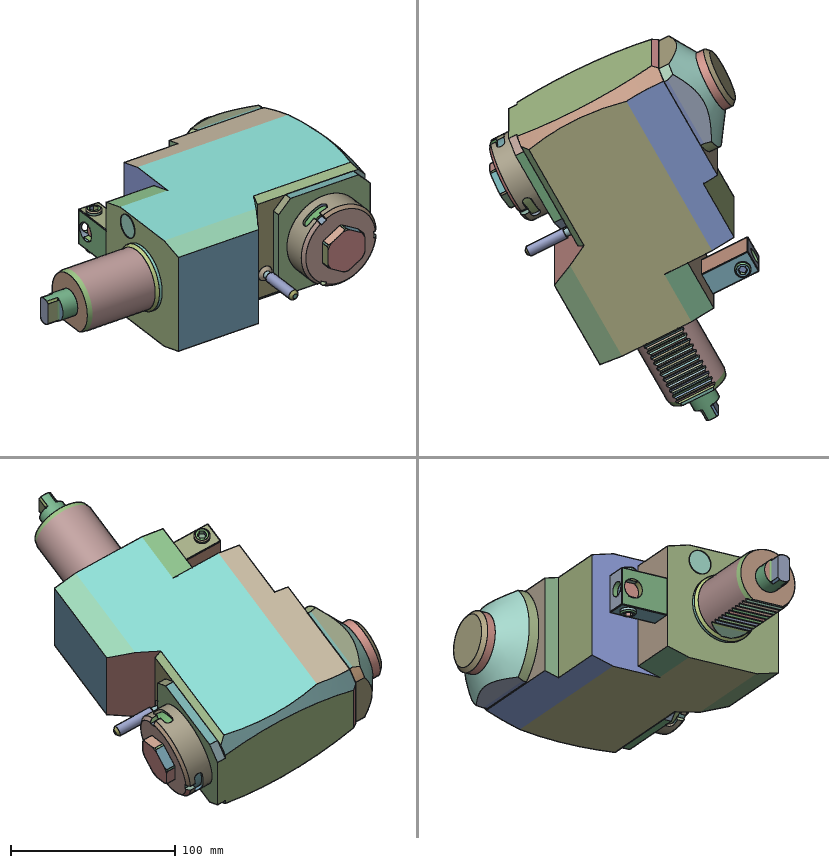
import cadquery as cq
import math


half_height = 37.5
head_back = 154.0
waist_front = 35.0
head_front = 74.8
foot_half_width = 39.3
foot_flat_half = 24.0
waist_left = -72.0
head_left = -81.8
left_flat_edge = -57.0
head_right = 14.5
head_right_flat_edge = 10.5
side_slope = math.tan(math.radians(15))
shoulder_y = 59.0
corner_chamfer_x = 3.5
corner_chamfer_y = 2.7
back_cone_radius = 140.1
back_cone_x = -23.3
back_edge_half_height = 33.5
plug_radius = 7.7
plug_x = -16.3
plug_z = 27.8
plug_depth = 0.5

spindle_y = 120.2
cap_rim_length = 2.5
cap_cone_start = -88.5
cap_radius = 38.2
collar_start = -101.5
collar_radius = 19.5
cap_end = -109.5
collar_chamfer = 2.7
cap_edge_half_height = 30.0
cap_back_offset = 30.3
flange_size = 67.3
flange_thickness = 5.6
flange_corner = 8.8
ring_radius = 27.5
ring_end = 37.7
ring_chamfer = 2.0
slot_x = 29.4
slot_angle = 40
slot_width = 5.6
slot_depth = 1.8
notch_width = 4.5
notch_depth = 3.2
pocket_angles = (0, 120, 240)
hex_flats = 27.0
hex_corner_radius = 15.1
hex_length = 6.3
hex_chamfer = 0.7

pin_y = 80.5
pin_z = -17.5
pin_radius = 3.5
pin_neck_radius = 2.5
pin_root_radius = 5.0
pin_root_length = 1.8
pin_neck_end = 20.3
pin_end = 47.2
pin_chamfer = 1.8

shank_radius = 20.1
shank_end = 53.3
shank_chamfer = 1.0
shank_chamfer_length = 3.5
seat_radius = 21.7
seat_length = 2.0
seat_taper_end = 4.0
rack_z = -16.0
rack_start = 7.7
tooth_pitch = 4.0
tooth_depth = 1.1
drive_radius = 8.8
drive_end = 64.2
tang_width = 8.4
tang_edge_chamfer = 1.8
tang_root_fillet = 1.0
tang_end = 72.0

nozzle_left = -71.2
nozzle_front = 1.0
nozzle_back = 15.8
nozzle_half_height = 12.5
nozzle_edge = 0.5
screw_x = -63.0
screw_y = 7.0
screw_radius = 5.0
screw_projection = 2.5
screw_chamfer = 1.0
socket_flats = 5.0
socket_depth = 3.5
ball_hole_radius = 6.3
ball_hole_depth = 4.5
ball_hole_flat = 5.5
side_hole_radius = 4.7
side_hole_depth = 3.5
side_drill_radius = 1.1
side_drill_depth = 5.6


def along_y(profile, start, end):
    """Extrude an X-Z outline from Y = start to Y = end."""
    plane = cq.Workplane("XZ", origin=(0, start, 0))
    return plane.polyline(profile).close().extrude(start - end)


def bevelled_block(left, left_flat, left_slope, right, right_flat, right_slope, start, end):
    """Housing block whose top and bottom fall away towards both sides."""
    left_z = half_height - (left_flat - left) * left_slope
    right_z = half_height - (right - right_flat) * right_slope
    upper = [(left, left_z), (left_flat, half_height), (right_flat, half_height), (right, right_z)]
    lower = [(x, -z) for x, z in reversed(upper)]
    return along_y(upper + lower, start, end)


def turned_about_x(points, y, z):
    """Revolve (X, radius) points about the line along X through (y, z)."""
    plane = cq.Workplane("XY", origin=(0, y, z))
    return plane.polyline(points).close().revolve(360, (0, 0, 0), (1, 0, 0))


def make_housing():
    foot = bevelled_block(
        -foot_half_width, -foot_flat_half, side_slope,
        foot_half_width, foot_flat_half, side_slope, 0, waist_front)
    waist = bevelled_block(
        waist_left, left_flat_edge, side_slope,
        foot_half_width, foot_flat_half, side_slope, waist_front, head_front)
    shoulder_cut = (
        cq.Workplane("XY")
        .polyline([(head_right_flat_edge, head_front), (foot_half_width, shoulder_y),
                   (foot_half_width, head_front)])
        .close()
        .extrude(half_height, both=True)
    )
    head = bevelled_block(
        head_left, left_flat_edge, side_slope,
        head_right, head_right_flat_edge, 1, head_front, head_back)
    corner_cut = (
        cq.Workplane("XY")
        .polyline([(head_left, head_back), (head_left + corner_chamfer_x, head_back),
                   (head_left, head_back - corner_chamfer_y)])
        .close()
        .extrude(half_height, both=True)
    )
    head = head.cut(corner_cut)
    head_length = head_back - head_front
    for side in (1, -1):
        cone_z = side * (back_edge_half_height - back_cone_radius)
        cone = cq.Solid.makeCone(
            back_cone_radius + head_length, back_cone_radius, head_length,
            cq.Vector(back_cone_x, head_front, cone_z), cq.Vector(0, 1, 0))
        head = head.intersect(cq.Workplane(cone))
    plug_recess = (
        cq.Workplane("XZ").center(plug_x, plug_z).circle(plug_radius).extrude(-plug_depth)
    )
    return foot.union(waist.cut(shoulder_cut)).union(head).cut(plug_recess)


def make_cap():
    cap = turned_about_x(
        [(head_left, 0), (head_left, cap_radius), (cap_cone_start, cap_radius),
         (collar_start, collar_radius), (cap_end + collar_chamfer, collar_radius),
         (cap_end, collar_radius - collar_chamfer), (cap_end, 0)], spindle_y, 0)
    rim_x = head_left - cap_rim_length
    end_z = cap_edge_half_height - (rim_x - cap_end) * side_slope
    upper = [(cap_end, end_z), (rim_x, cap_edge_half_height), (head_left, cap_edge_half_height)]
    lower = [(x, -z) for x, z in reversed(upper)]
    envelope = along_y(upper + lower, spindle_y - cap_radius, spindle_y + cap_back_offset)
    return cap.intersect(envelope)


def make_tool_end():
    plane = cq.Workplane("YZ", origin=(head_right, spindle_y, 0))
    flange = plane.rect(flange_size, flange_size).extrude(flange_thickness)
    flange = flange.edges("|X").chamfer(flange_corner)
    ring_start = head_right + flange_thickness
    ring = turned_about_x(
        [(ring_start, 0), (ring_start, ring_radius), (ring_end - ring_chamfer, ring_radius),
         (ring_end, ring_radius - ring_chamfer), (ring_end, 0)], spindle_y, 0)
    slot_floor = ring_radius - slot_depth
    slot_sweep = slot_angle - math.degrees(slot_width / ring_radius)
    slot = (
        cq.Workplane("XY", origin=(0, spindle_y, 0))
        .moveTo(slot_x, (slot_floor + ring_radius) / 2)
        .rect(slot_width, slot_depth)
        .revolve(slot_sweep, (0, 0, 0), (1, 0, 0))
        .rotate((0, spindle_y, 0), (1, spindle_y, 0), -slot_sweep / 2)
    )
    slot_core = cq.Workplane("YZ", origin=(0, spindle_y, 0)).circle(slot_floor).extrude(ring_end)
    slot_end = (
        cq.Workplane("XZ", origin=(slot_x, spindle_y, 0))
        .circle(slot_width / 2)
        .extrude(-ring_radius)
        .cut(slot_core)
    )
    for side in (1, -1):
        slot = slot.union(slot_end.rotate(
            (0, spindle_y, 0), (1, spindle_y, 0), side * slot_sweep / 2))
    notch_length = ring_end - slot_x - slot_width / 2
    notch = cq.Workplane("XY").box(
        notch_length, notch_depth, notch_width, centered=(False, False, True))
    pocket = slot.union(notch.translate(
        (ring_end - notch_length, spindle_y + ring_radius - notch_depth, 0)))
    for angle in pocket_angles:
        ring = ring.cut(pocket.rotate((0, spindle_y, 0), (1, spindle_y, 0), angle))
    hex_end = ring_end + hex_length
    hexagon = (
        cq.Workplane("YZ", origin=(ring_end, spindle_y, 0))
        .polygon(6, hex_flats, circumscribed=True)
        .extrude(hex_length)
    )
    hex_turning = turned_about_x(
        [(ring_end, 0), (ring_end, hex_corner_radius), (hex_end - hex_chamfer, hex_corner_radius),
         (hex_end, hex_corner_radius - hex_chamfer), (hex_end, 0)], spindle_y, 0)
    return flange.union(ring).union(hexagon.intersect(hex_turning))


def make_pin():
    return turned_about_x(
        [(head_right_flat_edge, 0), (head_right_flat_edge, pin_root_radius),
         (head_right, pin_root_radius), (head_right + pin_root_length, pin_neck_radius),
         (pin_neck_end, pin_neck_radius), (pin_neck_end, pin_radius),
         (pin_end - pin_chamfer, pin_radius), (pin_end, pin_radius - pin_chamfer),
         (pin_end, 0)], pin_y, pin_z)


def make_shank():
    shank = (
        cq.Workplane("XY")
        .polyline([(0, 0), (seat_radius, 0), (seat_radius, -seat_length),
                   (shank_radius, -seat_taper_end), (shank_radius, shank_chamfer_length - shank_end),
                   (shank_radius - shank_chamfer, -shank_end), (drive_radius, -shank_end),
                   (drive_radius, -drive_end), (0, -drive_end)])
        .close()
        .revolve(360, (0, 0, 0), (0, 1, 0))
    )
    ramp_start = rack_start - (shank_radius + rack_z)
    tooth_count = math.floor((shank_end - rack_start) / tooth_pitch)
    rack = [(-ramp_start, -shank_radius), (-rack_start, rack_z)]
    for i in range(tooth_count):
        tooth_y = -rack_start - i * tooth_pitch
        rack += [(tooth_y - tooth_pitch / 4, rack_z + tooth_depth),
                 (tooth_y - tooth_pitch / 2, rack_z + tooth_depth),
                 (tooth_y - tooth_pitch * 3 / 4, rack_z),
                 (tooth_y - tooth_pitch, rack_z)]
    rack += [(-shank_end, rack_z), (-shank_end, -shank_radius)]
    rack_cut = cq.Workplane("YZ").polyline(rack).close().extrude(shank_radius, both=True)
    drive_envelope = cq.Workplane("XZ").circle(drive_radius).extrude(tang_end)
    tang = (
        cq.Workplane("XZ", origin=(0, -shank_end, 0))
        .rect(tang_width, 2 * drive_radius)
        .extrude(tang_end - shank_end)
        .edges("|Y").chamfer(tang_edge_chamfer)
    )
    half_width = tang_width / 2
    for side in (1, -1):
        root = (
            cq.Workplane("XY")
            .moveTo(side * half_width, -drive_end)
            .lineTo(side * (half_width + tang_root_fillet), -drive_end)
            .radiusArc((side * half_width, -drive_end - tang_root_fillet), -side * tang_root_fillet)
            .close()
            .extrude(drive_radius, both=True)
        )
        tang = tang.union(root)
    return shank.cut(rack_cut).union(tang.intersect(drive_envelope))


def make_nozzle_block():
    block = (
        cq.Workplane("XY", origin=(nozzle_left, nozzle_front, 0))
        .box(-foot_half_width - nozzle_left, nozzle_back - nozzle_front, 2 * nozzle_half_height,
             centered=(False, False, True))
        .faces("<X").edges().chamfer(nozzle_edge)
        .edges("|X").chamfer(nozzle_edge)
    )
    screw_top = nozzle_half_height + screw_projection
    screw = (
        cq.Workplane("XY", origin=(screw_x, screw_y, -screw_top))
        .circle(screw_radius)
        .extrude(2 * screw_top)
        .faces("<Z or >Z").edges().chamfer(screw_chamfer)
    )
    block = block.union(screw)
    for side in (1, -1):
        socket = (
            cq.Workplane("XY", origin=(screw_x, screw_y, side * screw_top))
            .polygon(6, socket_flats, circumscribed=True)
            .extrude(-side * socket_depth)
        )
        block = block.cut(socket)
    ball_hole = (
        cq.Workplane("XZ", origin=(screw_x, nozzle_front, 0))
        .circle(ball_hole_radius)
        .extrude(-ball_hole_depth)
    )
    bevel = ball_hole_radius - ball_hole_flat
    bevelled_slab = (
        cq.Workplane("YZ", origin=(screw_x, nozzle_front, 0))
        .polyline([(0, -ball_hole_radius), (0, ball_hole_radius), (bevel, ball_hole_flat),
                   (ball_hole_depth, ball_hole_flat), (ball_hole_depth, -ball_hole_flat),
                   (bevel, -ball_hole_flat)])
        .close()
        .extrude(ball_hole_radius, both=True)
    )
    side_hole = (
        cq.Workplane("YZ", origin=(nozzle_left, screw_y, 0))
        .circle(side_hole_radius)
        .extrude(side_hole_depth)
    )
    side_drill = (
        cq.Workplane("YZ", origin=(nozzle_left, screw_y, 0))
        .circle(side_drill_radius)
        .extrude(side_drill_depth)
    )
    return block.cut(ball_hole.intersect(bevelled_slab)).cut(side_hole).cut(side_drill)


result = (
    make_housing()
    .union(make_cap())
    .union(make_tool_end())
    .union(make_pin())
    .union(make_shank())
    .union(make_nozzle_block())
)